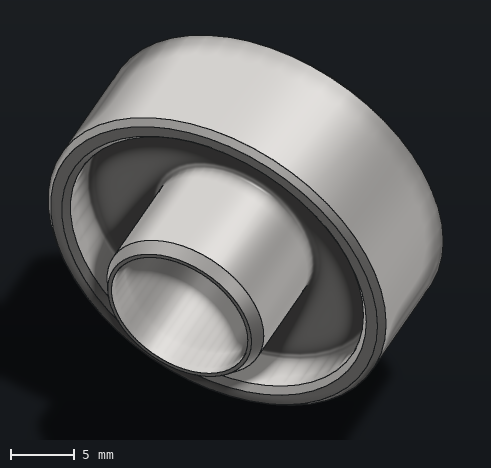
import cadquery as cq

wheel_radius = 14.9
wheel_width = 11.0
hub_projection = 6.0
hub_radius = 13.8 / 2
bore_radius = 12.0 / 2

recess_depth = 4.0
recess_mouth_chamfer = 0.5
recess_wall_radius = 25.8 / 2

rim_chamfer = 0.5
recess_fillet = 0.5
hub_chamfer_length = 1.0
hub_chamfer_height = 0.57

hub_end = -hub_projection
back_face = wheel_width
recess_floor = recess_depth
fillet_start = recess_floor - recess_fillet
arc_middle_offset = recess_fillet * (1 - 0.5 ** 0.5)


def make_profile():
    """Half section: X is the radius and Y the position along the axis."""
    return (
        cq.Workplane("XY")
        .moveTo(bore_radius, hub_end)
        .lineTo(hub_radius - hub_chamfer_height, hub_end)
        .lineTo(hub_radius, hub_end + hub_chamfer_length)
        .lineTo(hub_radius, fillet_start)
        .threePointArc(
            (hub_radius + arc_middle_offset, recess_floor - arc_middle_offset),
            (hub_radius + recess_fillet, recess_floor),
        )
        .lineTo(recess_wall_radius - recess_fillet, recess_floor)
        .threePointArc(
            (recess_wall_radius - arc_middle_offset, recess_floor - arc_middle_offset),
            (recess_wall_radius, fillet_start),
        )
        .lineTo(recess_wall_radius, recess_mouth_chamfer)
        .lineTo(recess_wall_radius + recess_mouth_chamfer, 0)
        .lineTo(wheel_radius - rim_chamfer, 0)
        .lineTo(wheel_radius, rim_chamfer)
        .lineTo(wheel_radius, back_face - rim_chamfer)
        .lineTo(wheel_radius - rim_chamfer, back_face)
        .lineTo(bore_radius, back_face)
        .close()
    )


result = make_profile().revolve(360, (0, 0, 0), (0, 1, 0))